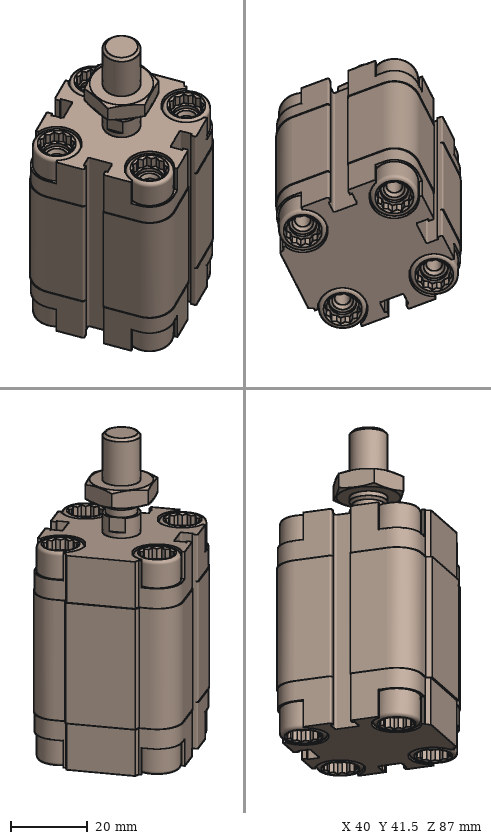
import cadquery as cq
import math


width = 40.0
half_width = width / 2
body_height = 59.5
cap_height = 13.0
cap_inset = 0.2
screw_offset = 13.0
corner_radius = half_width - screw_offset

rail_top_y = 21.5
rail_top_half = 9.4
rail_base_half = 10.0
rail_cap_inset = 0.4

slot_depth = 5.0
slot_opening = 5.4
slot_width = 6.7
lip_thickness = 1.7
slot_rounding = 0.4

head_diameter = 12.5
head_height = 7.5
head_rounding = 1.0
pocket_diameter = 13.0
recess_edge = 10.5
mouth_diameter = 10.0
mouth_slope = math.tan(math.radians(30))
socket_across_flats = 8.1
socket_points = 12
socket_depth = 3.3
relief_diameter = 7.2
relief_depth = 4.3
seat_diameter = 5.5
seat_slope = math.tan(math.radians(60))
thread_hole_diameter = 4.13

rod_diameter = 10.0
rod_top = 87.0
rod_bottom = body_height - cap_height
thread_core_diameter = 8.47
shoulder_z = 65.0
neck_top = 67.0
thread_chamfer = (rod_diameter - thread_core_diameter) / 2
wrench_flats = 9.0
wrench_flats_bottom = 61.0

nut_across_flats = 17.0
nut_bottom = 69.0
nut_height = 5.0
nut_face_diameter = 16.6
nut_chamfer_slope = math.tan(math.radians(20))


def profile_prism(inset, rail_inset, bottom, height):
    """Rounded square with the tapered rail, drawn in by the given insets."""
    size = width - 2 * inset
    block = (
        cq.Workplane("XY", origin=(0, 0, bottom))
        .rect(size, size)
        .extrude(height)
        .edges("|Z")
        .fillet(corner_radius - inset)
    )
    rail = (
        cq.Workplane("XY", origin=(0, 0, bottom))
        .polyline([
            (-rail_base_half + inset, 0),
            (-rail_base_half + inset, half_width - inset),
            (-rail_top_half + inset, rail_top_y - rail_inset),
            (rail_top_half - inset, rail_top_y - rail_inset),
            (rail_base_half - inset, half_width - inset),
            (rail_base_half - inset, 0),
        ])
        .close()
        .extrude(height)
    )
    return block.union(rail)


def slot_cutter(half_size, bottom, height):
    """T-shaped slot on the -Y side, open at y = -half_size, with rounded lips and floor corners."""
    floor_y = -half_width + slot_depth
    lip_y = -half_width + lip_thickness
    half_opening = slot_opening / 2
    half_slot = slot_width / 2
    lip_start_y = -half_size + slot_rounding
    return (
        cq.Workplane("XY", origin=(0, 0, bottom))
        .moveTo(half_opening + slot_rounding, -half_size)
        .radiusArc((half_opening, lip_start_y), slot_rounding)
        .lineTo(half_opening, lip_y)
        .lineTo(half_slot, lip_y)
        .lineTo(half_slot, floor_y)
        .lineTo(-half_slot, floor_y)
        .lineTo(-half_slot, lip_y)
        .lineTo(-half_opening, lip_y)
        .lineTo(-half_opening, lip_start_y)
        .radiusArc((-half_opening - slot_rounding, -half_size), slot_rounding)
        .close()
        .extrude(height)
        .edges(">Y and |Z")
        .fillet(slot_rounding)
    )


def housing_section(inset, rail_inset, bottom, height):
    """One length of the housing with its three sensor slots."""
    section = profile_prism(inset, rail_inset, bottom, height)
    half_size = half_width - inset
    for angle in (-90, 0, 90):
        cutter = slot_cutter(half_size, bottom, height).rotate((0, 0, 0), (0, 0, 1), angle)
        section = section.cut(cutter)
    return section


def corner_recess():
    """Corner clearance at the top of the housing, around the screw in the +X +Y corner."""
    corner = cq.Workplane("XY", origin=(0, 0, body_height - head_height))
    box = corner.rect(width, width).extrude(head_height)
    box = box.translate((recess_edge + half_width, recess_edge + half_width, 0))
    pocket = corner.center(screw_offset, screw_offset).circle(pocket_diameter / 2).extrude(head_height)
    return box.union(pocket)


def star_prism(depth):
    """Star with the outline of two hexagons turned against each other, hanging from z = 0."""
    flat_radius = socket_across_flats / 2
    tip_radius = flat_radius / math.cos(math.pi / 6)
    root_radius = flat_radius / math.cos(math.pi / socket_points)
    step = math.pi / socket_points
    points = []
    for i in range(2 * socket_points):
        radius = root_radius if i % 2 else tip_radius
        points.append((radius * math.cos(i * step), radius * math.sin(i * step)))
    return cq.Workplane("XY").polyline(points).close().extrude(-depth)


def screw_head():
    """Round screw head with a stepped twelve-point socket, its top face at z = 0."""
    head = (
        cq.Workplane("XY")
        .circle(head_diameter / 2)
        .extrude(-head_height)
        .faces(">Z")
        .edges()
        .fillet(head_rounding)
    )
    mouth_radius = mouth_diameter / 2
    seat_radius = seat_diameter / 2
    bore_radius = thread_hole_diameter / 2
    mouth = (
        cq.Workplane("XZ")
        .polyline([
            (0, -mouth_radius * mouth_slope),
            (mouth_radius, 0),
            (0, 0),
        ])
        .close()
        .revolve(360, (0, 0, 0), (0, 1, 0))
    )
    steps = (
        cq.Workplane("XZ")
        .polyline([
            (0, 0),
            (relief_diameter / 2, 0),
            (relief_diameter / 2, -relief_depth),
            (seat_radius, -relief_depth),
            (bore_radius, -relief_depth - (seat_radius - bore_radius) * seat_slope),
            (bore_radius, -head_height),
            (0, -head_height),
        ])
        .close()
        .revolve(360, (0, 0, 0), (0, 1, 0))
    )
    return head.cut(mouth).cut(star_prism(socket_depth)).cut(steps)


def make_housing():
    tube_height = body_height - 2 * cap_height
    housing = housing_section(0, 0, cap_height, tube_height)
    for bottom in (0, body_height - cap_height):
        housing = housing.union(housing_section(cap_inset, rail_cap_inset, bottom, cap_height))

    recess = corner_recess()
    head = screw_head().translate((screw_offset, screw_offset, body_height))
    through_hole = (
        cq.Workplane("XY")
        .center(screw_offset, screw_offset)
        .circle(thread_hole_diameter / 2)
        .extrude(body_height)
    )
    middle = (0, 0, body_height / 2)
    recesses = recess.union(recess.mirror("XY", middle))
    heads = head.union(head.mirror("XY", middle))
    cutters = recesses.union(through_hole)
    for angle in (0, 90, 180, 270):
        housing = housing.cut(cutters.rotate((0, 0, 0), (0, 0, 1), angle))
        housing = housing.union(heads.rotate((0, 0, 0), (0, 0, 1), angle))

    rod_bore = cq.Workplane("XY", origin=(0, 0, rod_bottom)).circle(rod_diameter / 2).extrude(cap_height)
    return housing.cut(rod_bore)


def make_rod():
    rod_radius = rod_diameter / 2
    core_radius = thread_core_diameter / 2
    rod = (
        cq.Workplane("XZ")
        .polyline([
            (0, rod_bottom),
            (rod_radius, rod_bottom),
            (rod_radius, shoulder_z),
            (core_radius, shoulder_z),
            (core_radius, neck_top),
            (rod_radius, neck_top + thread_chamfer),
            (rod_radius, rod_top - thread_chamfer),
            (core_radius, rod_top),
            (0, rod_top),
        ])
        .close()
        .revolve(360, (0, 0, 0), (0, 1, 0))
    )
    for side in (-1, 1):
        flat = (
            cq.Workplane("XY", origin=(0, side * (wrench_flats + rod_diameter) / 2, wrench_flats_bottom))
            .rect(rod_diameter, rod_diameter)
            .extrude(shoulder_z - wrench_flats_bottom)
        )
        rod = rod.cut(flat)
    return rod


def make_nut():
    corner_diameter = nut_across_flats / math.cos(math.pi / 6)
    hex_radius = corner_diameter / 2
    face_radius = nut_face_diameter / 2
    drop = (hex_radius - face_radius) * nut_chamfer_slope
    hexagon = (
        cq.Workplane("XY", origin=(0, 0, nut_bottom))
        .polygon(6, corner_diameter)
        .extrude(nut_height)
        .rotate((0, 0, 0), (0, 0, 1), 30)
    )
    nut_top = nut_bottom + nut_height
    turned_blank = (
        cq.Workplane("XZ")
        .polyline([
            (rod_diameter / 2, nut_bottom),
            (face_radius, nut_bottom),
            (hex_radius, nut_bottom + drop),
            (hex_radius, nut_top - drop),
            (face_radius, nut_top),
            (rod_diameter / 2, nut_top),
        ])
        .close()
        .revolve(360, (0, 0, 0), (0, 1, 0))
    )
    return hexagon.intersect(turned_blank)


housing = make_housing()
rod = make_rod()
nut = make_nut()

result = cq.Compound.makeCompound([housing.val(), rod.val(), nut.val()])